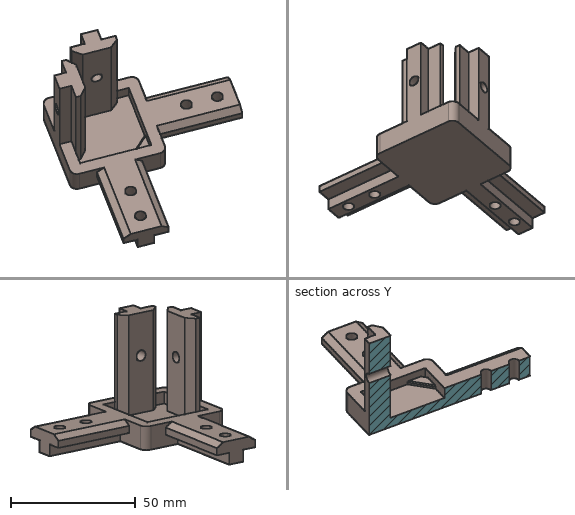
import cadquery as cq

block_side = 40.0
block_height = 10.0
wall = 5.0
corner_radius = 3.0
floor_thickness = 5.0

overall_length = 75.0
overall_height = 47.0
stem_width = 7.0
stem_depth = wall
head_width = 19.0
head_depth = 5.0
post_bevel_width = 3.5
post_bevel_depth = 3.0
arm_bevel_width = 3.0
arm_bevel_depth = 2.0

hole_diameter = 4.46
post_hole_height = 29.0
arm_hole_positions = (54.5, 67.5)

pad_setback = 0.9
pad_width = 5.0
pad_height = 1.5
pad_chamfer = 0.5

center = block_side / 2
rail_depth = stem_depth + head_depth
pocket_side = block_side - 2 * wall
pocket_corner = block_side - wall


def rail(plane, bevel_width, bevel_depth, length):
    """T rail: the plane's x runs across it, its y from stem foot to head, its normal lengthwise."""
    half_stem = stem_width / 2
    half_head = head_width / 2
    right_side = [
        (half_stem, 0),
        (half_stem, stem_depth),
        (half_head, stem_depth),
        (half_head, rail_depth - bevel_depth),
        (half_head - bevel_width, rail_depth),
    ]
    left_side = [(-across, depth) for across, depth in reversed(right_side)]
    return cq.Workplane(plane).polyline(right_side + left_side).close().extrude(length)


def hole(plane, x, y):
    """Round cutter through the full depth of a rail."""
    return cq.Workplane(plane).center(x, y).circle(hole_diameter / 2).extrude(rail_depth)


def across_diagonal(solid):
    """Copy of a solid with its X and Y directions swapped."""
    return solid.rotate((0, 0, 0), (0, 0, 1), 90).mirror("YZ")


def make_pocket():
    """Square space inside the tray, from its floor upward."""
    pocket = cq.Workplane("XY").box(pocket_side, pocket_side, block_height, centered=False)
    return pocket.translate((wall, wall, floor_thickness))


def make_block():
    """Square tray with rounded vertical corners."""
    block = cq.Workplane("XY").box(block_side, block_side, block_height, centered=False)
    return block.edges("|Z").fillet(corner_radius).cut(make_pocket())


def make_post():
    """Upright rail on the -Y wall, its head toward the inside of the tray."""
    foot = cq.Plane((center, 0, 0))
    post = rail(foot, post_bevel_width, post_bevel_depth, overall_height)
    outer_face = cq.Plane((center, 0, 0), xDir=(-1, 0, 0), normal=(0, 1, 0))
    return post.cut(hole(outer_face, 0, post_hole_height))


def make_arm():
    """Rail lying along +X, its head upward."""
    root = cq.Plane((pocket_corner, center, 0), xDir=(0, 1, 0), normal=(1, 0, 0))
    arm = rail(root, arm_bevel_width, arm_bevel_depth, overall_length - pocket_corner)
    for position in arm_hole_positions:
        arm = arm.cut(hole("XY", position, center))
    return arm


def make_pad():
    """Low chamfered pad across the diagonal of the pocket, trimmed by the two pocket walls."""
    section = cq.Plane(
        (pocket_corner, pocket_corner, floor_thickness), xDir=(-1, -1, 0), normal=(-1, 1, 0)
    )
    pad_front = pad_setback + pad_width
    outline = [
        (pad_setback, 0),
        (pad_setback, pad_height - pad_chamfer),
        (pad_setback + pad_chamfer, pad_height),
        (pad_front - pad_chamfer, pad_height),
        (pad_front, pad_height - pad_chamfer),
        (pad_front, 0),
    ]
    pad = cq.Workplane(section).polyline(outline).close().extrude(pad_front, both=True)
    return pad.intersect(make_pocket())


post = make_post()
arm = make_arm()
result = make_block()
for piece in (post, across_diagonal(post), arm, across_diagonal(arm), make_pad()):
    result = result.union(piece)